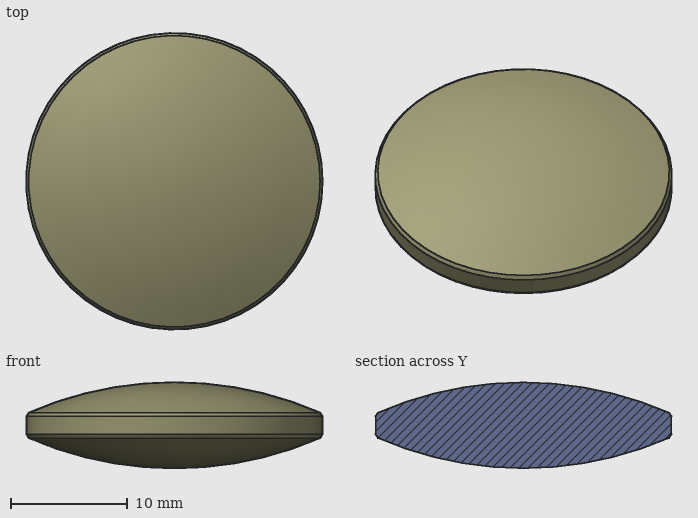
import cadquery as cq

diameter = 25.4
centre_thickness = 7.4
rim_height = 1.52
bevel_width = 0.23
bevel_height = 0.33

rim_radius = diameter / 2
dome_radius = rim_radius - bevel_width
apex_z = centre_thickness / 2
rim_z = rim_height / 2
dome_edge_z = rim_z + bevel_height

sag = apex_z - dome_edge_z
sphere_radius = (dome_radius**2 + sag**2) / (2 * sag)

arc_mid_r = dome_radius / 2
arc_drop = sphere_radius - (sphere_radius**2 - arc_mid_r**2) ** 0.5
arc_mid_z = apex_z - arc_drop

half_section = (
    cq.Workplane("XZ")
    .moveTo(0, -apex_z)
    .threePointArc((arc_mid_r, -arc_mid_z), (dome_radius, -dome_edge_z))
    .lineTo(rim_radius, -rim_z)
    .lineTo(rim_radius, rim_z)
    .lineTo(dome_radius, dome_edge_z)
    .threePointArc((arc_mid_r, arc_mid_z), (0, apex_z))
    .close()
)

result = half_section.revolve(360, (0, 0, 0), (0, 1, 0))